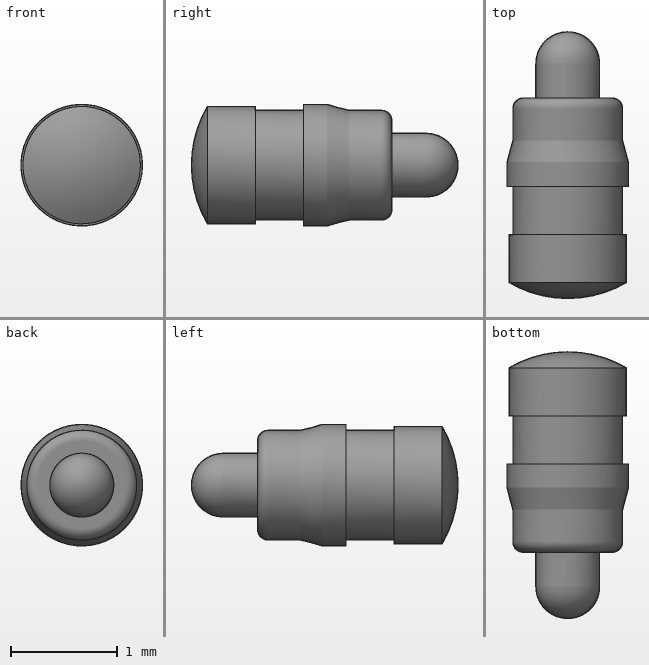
import cadquery as cq

plunger_radius = 0.3
body_radius = 0.515
collar_radius = 0.57
base_radius = 0.55

total_length = 2.5
dome_height = 0.15
base_end = 0.6
collar_start = 1.05
collar_end = 1.275
taper_end = 1.48
body_end = 1.88
shoulder_fillet = 0.1

tip_start = total_length - plunger_radius

dome_radius = (base_radius**2 + dome_height**2) / (2 * dome_height)
dome_mid_x = base_radius / 2
dome_mid_y = dome_radius - (dome_radius**2 - dome_mid_x**2) ** 0.5

diagonal = 0.5**0.5
fillet_center_x = body_radius - shoulder_fillet
fillet_center_y = body_end - shoulder_fillet
fillet_mid = (fillet_center_x + shoulder_fillet * diagonal, fillet_center_y + shoulder_fillet * diagonal)
tip_mid = (plunger_radius * diagonal, tip_start + plunger_radius * diagonal)

profile = (
    cq.Workplane("XY")
    .moveTo(0, 0)
    .threePointArc((dome_mid_x, dome_mid_y), (base_radius, dome_height))
    .lineTo(base_radius, base_end)
    .lineTo(body_radius, base_end)
    .lineTo(body_radius, collar_start)
    .lineTo(collar_radius, collar_start)
    .lineTo(collar_radius, collar_end)
    .lineTo(body_radius, taper_end)
    .lineTo(body_radius, fillet_center_y)
    .threePointArc(fillet_mid, (fillet_center_x, body_end))
    .lineTo(plunger_radius, body_end)
    .lineTo(plunger_radius, tip_start)
    .threePointArc(tip_mid, (0, total_length))
    .close()
)

result = profile.revolve(360, (0, 0, 0), (0, 1, 0))